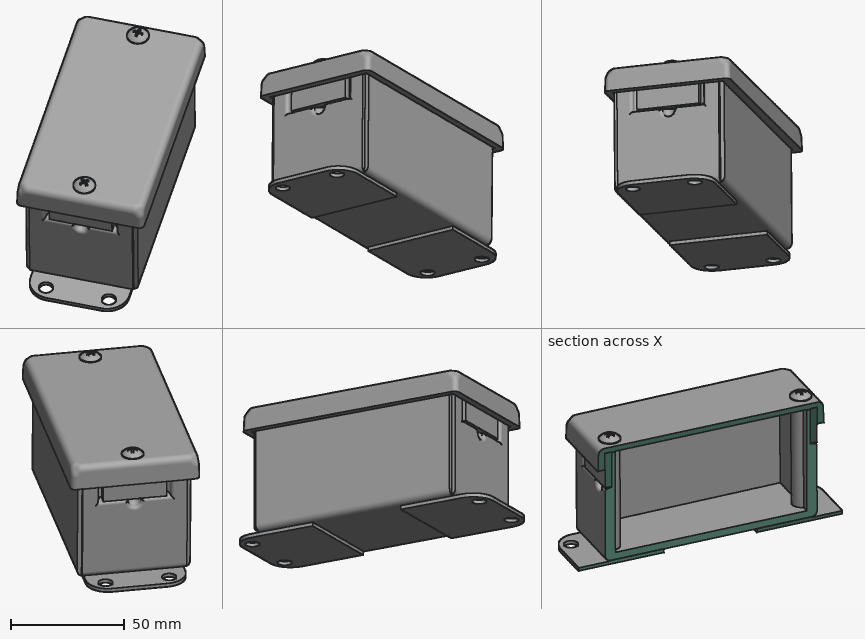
import cadquery as cq
import math

HOUSING_X = 50.7
HOUSING_Y = 102.0
HOUSING_Z = 54.5
WALL = 5.1
FLOOR = 3.8
CORNER_NOTCH = 1.9
BOTTOM_ROUND = 2.8

LID_X = 58.0
LID_Y = 108.9
LID_Z = 11.1
LID_TOP = 57.2
LID_BOTTOM = LID_TOP - LID_Z
LID_DRAFT = 2.0
LID_CORNER_ROUND = 2.4
LID_TIP_CUT = 5.1
LID_TOP_ROUND = 3.0
LID_SHIFT_X = 0.4

RECESS_X = 32.5
RECESS_BOTTOM = 36.8
RIM_ROUND = 1.5
RECESS_DEPTH = 3.2

PLUG_X = 28.5
PLUG_BOTTOM = 37.1
FINGER_NOTCH_DIAMETER = 5.6
FINGER_NOTCH_Z = 35.7

HEAD_DIAMETER = 9.8
HEAD_RIM = 0.4
HEAD_HEIGHT = 2.5
SHANK_DIAMETER = 4.2
SHANK_LENGTH = 15.3
SCREW_Y = 46.2
SCREW_SHIFT_Y = 0.6
POST_DIAMETER = 8.9
CROSS_SPAN = 4.2
CROSS_WIDTH = 0.9
CROSS_DEPTH = 1.3
SCREWS = [(-1, 45), (1, -10)]

BRACKET_X = 44.9
BRACKET_Y = 41.1
BRACKET_THICKNESS = 1.8
BRACKET_CORNER = 9.9
BRACKET_END_Y = 63.4
MOUNT_HOLE_DIAMETER = 6.4
MOUNT_HOLE_X = 14.31
MOUNT_HOLE_Y = 57.5
BRACKET_SHIFT_Y = -0.4

LEAN_X = 0.2
LEAN_Y = -0.4
LEAN_Z = 0.6

ENDS = (-1, 1)
HOUSING_FACE_Y = HOUSING_Y / 2


def block(size_x, size_y, z_bottom, z_top):
    """A block centred on the Z axis."""
    return cq.Workplane("XY", origin=(0, 0, z_bottom)).rect(size_x, size_y).extrude(z_top - z_bottom)


def at_end(shape, end):
    """Copy a shape made for the -Y end to the chosen end."""
    return shape if end < 0 else shape.mirror("XZ")


def screw_shank(end):
    return (
        cq.Workplane("XY", origin=(LID_SHIFT_X, end * SCREW_Y + SCREW_SHIFT_Y, LID_TOP - SHANK_LENGTH))
        .circle(SHANK_DIAMETER / 2)
        .extrude(SHANK_LENGTH)
    )


def make_plug(end):
    """Flat cover plug, flush with the end wall of the housing."""
    plug = block(PLUG_X, RECESS_DEPTH, PLUG_BOTTOM, HOUSING_Z)
    return at_end(plug.translate((0, RECESS_DEPTH / 2 - HOUSING_FACE_Y, 0)), end)


def recess_cutter():
    """Recess for the plug, with a rounded floor edge at the bottom and both sides."""
    cutter = block(RECESS_X, RECESS_DEPTH, RECESS_BOTTOM, HOUSING_Z)
    cutter = cutter.faces(">Y").edges("|Z or <Z").fillet(RIM_ROUND)
    return cutter.translate((0, RECESS_DEPTH / 2 - HOUSING_FACE_Y, 0))


def finger_notch_cutters():
    """Round-bottomed scoop with a flared mouth, reaching behind the lower edge of the plug."""
    radius = FINGER_NOTCH_DIAMETER / 2
    arc_offset = RIM_ROUND * math.sqrt(0.5)
    mouth_radius = radius + RIM_ROUND
    mouth = (
        cq.Workplane("YZ")
        .moveTo(0, 0)
        .lineTo(0, mouth_radius)
        .threePointArc((RIM_ROUND - arc_offset, mouth_radius - arc_offset), (RIM_ROUND, radius))
        .lineTo(RIM_ROUND, 0)
        .close()
        .revolve(360, (0, 0, 0), (1, 0, 0))
    )
    scoop = (
        cq.Workplane("XZ")
        .moveTo(0, -radius)
        .threePointArc((radius * math.sqrt(0.5), -radius * math.sqrt(0.5)), (radius, 0))
        .lineTo(radius, PLUG_BOTTOM - FINGER_NOTCH_Z)
        .lineTo(0, PLUG_BOTTOM - FINGER_NOTCH_Z)
        .close()
        .revolve(360, (0, 0, 0), (0, 1, 0))
        .translate((0, RIM_ROUND, 0))
    )
    return [tool.translate((0, -HOUSING_FACE_Y, FINGER_NOTCH_Z)) for tool in (mouth, scoop)]


def end_wall_recess(body, end):
    """Cut the plug recess with its rounded rim, then the finger notch below it."""
    body = body.cut(at_end(recess_cutter(), end))
    rim_center = cq.Vector(0, end * HOUSING_FACE_Y, HOUSING_Z)
    half_size = cq.Vector(RECESS_X / 2 + RIM_ROUND, RIM_ROUND / 2, HOUSING_Z - RECESS_BOTTOM + RIM_ROUND)
    rim_zone = cq.selectors.BoxSelector(
        (rim_center - half_size).toTuple(),
        (rim_center + half_size - cq.Vector(0, 0, half_size.z + RIM_ROUND)).toTuple(),
    )
    body = body.edges(rim_zone).fillet(RIM_ROUND)
    for cutter in finger_notch_cutters():
        body = body.cut(at_end(cutter, end))
    return body


def make_housing():
    body = block(HOUSING_X, HOUSING_Y, 0, HOUSING_Z).faces("<Z").edges().fillet(BOTTOM_ROUND)
    notches = (
        cq.Workplane("XY")
        .rect(HOUSING_X, HOUSING_Y, forConstruction=True)
        .vertices()
        .rect(2 * CORNER_NOTCH, 2 * CORNER_NOTCH)
        .extrude(HOUSING_Z)
    )
    body = body.cut(notches)
    for end in ENDS:
        body = end_wall_recess(body, end)
    cavity = block(HOUSING_X - 2 * WALL, HOUSING_Y - 2 * WALL, FLOOR, HOUSING_Z)
    posts = (
        cq.Workplane("XY", origin=(0, 0, FLOOR))
        .pushPoints([(LID_SHIFT_X, end * SCREW_Y + SCREW_SHIFT_Y) for end in ENDS])
        .circle(POST_DIAMETER / 2)
        .extrude(HOUSING_Z - FLOOR)
    )
    body = body.cut(cavity.cut(posts))
    for end in ENDS:
        body = body.cut(make_plug(end)).cut(screw_shank(end))
    return body


def cut_lid_tips(body):
    """Slant off the four top corner tips of the drafted lid block."""
    side_lean = LID_Z * math.tan(math.radians(LID_DRAFT))
    tip_x = LID_X / 2 - side_lean - LID_TIP_CUT
    tip_y = LID_Y / 2 - side_lean
    for sign_x in ENDS:
        for sign_y in ENDS:
            slant = cq.Plane(
                origin=(sign_x * tip_x, sign_y * tip_y, LID_TOP),
                xDir=(-sign_y, sign_x, 0),
                normal=(sign_x, sign_y, 1),
            )
            body = body.cut(cq.Workplane(slant).rect(LID_Y / 2, LID_Y / 2).extrude(LID_Z))
    return body


def make_lid():
    body = (
        cq.Workplane("XY", origin=(0, 0, LID_BOTTOM))
        .rect(LID_X, LID_Y)
        .extrude(LID_Z, taper=LID_DRAFT)
    )
    body = body.edges("not(#Z)").fillet(LID_CORNER_ROUND)
    body = cut_lid_tips(body)
    top_zone = cq.selectors.BoxSelector(
        (-LID_X, -LID_Y, LID_TOP - LID_TIP_CUT), (LID_X, LID_Y, LID_TOP + LID_Z)
    )
    body = body.edges(top_zone).fillet(LID_TOP_ROUND)
    body = body.translate((LID_SHIFT_X, 0, 0))
    body = body.cut(block(HOUSING_X, HOUSING_Y, LID_BOTTOM, HOUSING_Z))
    for end in ENDS:
        body = body.cut(screw_shank(end))
    return body


def make_screw(end, cross_turn):
    """Domed screw with a cross recess."""
    radius = HEAD_DIAMETER / 2
    dome_height = HEAD_HEIGHT - HEAD_RIM
    dome_radius = (radius**2 + dome_height**2) / (2 * dome_height)
    dome = cq.Workplane("XY").sphere(dome_radius).translate((0, 0, HEAD_HEIGHT - dome_radius))
    head = cq.Workplane("XY").circle(radius).extrude(HEAD_HEIGHT).intersect(dome)
    cross = (
        cq.Workplane("XY", origin=(0, 0, HEAD_HEIGHT - CROSS_DEPTH))
        .rect(CROSS_SPAN, CROSS_WIDTH)
        .rect(CROSS_WIDTH, CROSS_SPAN)
        .extrude(CROSS_DEPTH)
        .rotate((0, 0, 0), (0, 0, 1), cross_turn)
    )
    head = head.cut(cross).translate((LID_SHIFT_X, end * SCREW_Y + SCREW_SHIFT_Y, LID_TOP))
    return head.union(screw_shank(end))


def make_bracket(end):
    """Flat foot with two rounded outer corners and two mounting holes."""
    plate = block(BRACKET_X, BRACKET_Y, -BRACKET_THICKNESS, 0)
    plate = plate.edges("|Z and <Y").fillet(BRACKET_CORNER)
    plate = plate.translate((0, BRACKET_Y / 2 - BRACKET_END_Y, 0))
    holes = (
        cq.Workplane("XY", origin=(0, 0, -BRACKET_THICKNESS))
        .pushPoints([(-MOUNT_HOLE_X, -MOUNT_HOLE_Y), (MOUNT_HOLE_X, -MOUNT_HOLE_Y)])
        .circle(MOUNT_HOLE_DIAMETER / 2)
        .extrude(BRACKET_THICKNESS)
    )
    return at_end(plate.cut(holes), end).translate((0, BRACKET_SHIFT_Y, 0))


def lean(body):
    """Tilt one body together with the assembly and return its solid."""
    body = body.rotate((0, 0, 0), (1, 0, 0), LEAN_X)
    body = body.rotate((0, 0, 0), (0, 1, 0), LEAN_Y)
    return body.rotate((0, 0, 0), (0, 0, 1), LEAN_Z).val()


housing = make_housing()
lid = make_lid()
screws = [make_screw(end, turn) for end, turn in SCREWS]
plugs = [make_plug(end) for end in ENDS]
brackets = [make_bracket(end) for end in ENDS]

result = cq.Compound.makeCompound([lean(body) for body in [housing, lid, *screws, *plugs, *brackets]])